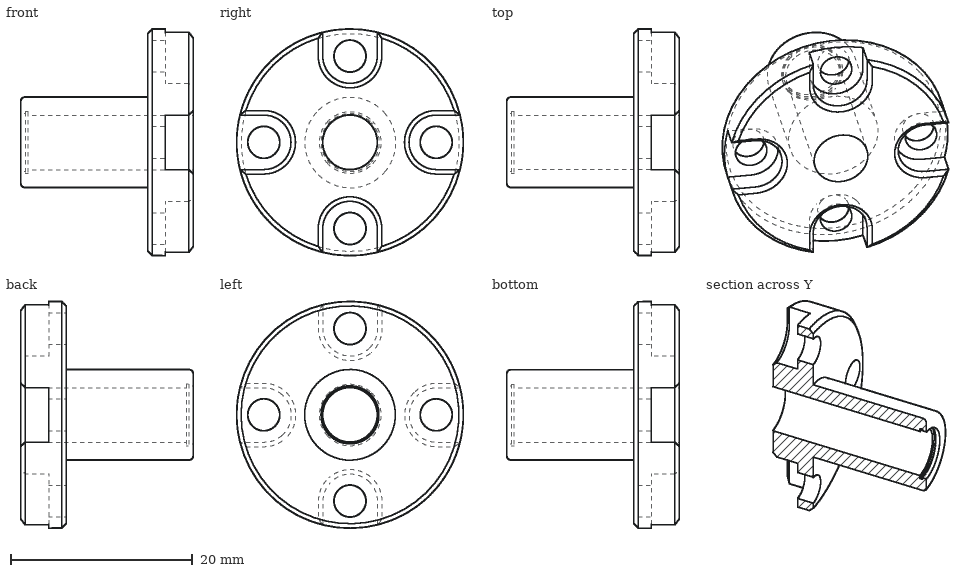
import cadquery as cq

flange_diameter = 24.98
flange_thickness = 5.02
flange_chamfer = 0.5

sleeve_diameter = 10.0
sleeve_length = 14.0
sleeve_rounding = 0.5
total_length = sleeve_length + flange_thickness

bore_diameter = 6.0
entry_diameter = 6.4
entry_depth = 0.5
groove_diameter = 6.8
groove_width = 0.3

hole_count = 4
hole_diameter = 3.5
hole_circle_radius = 9.5
slot_width = 6.0
slot_depth = 3.07
slot_chamfer = 0.5


def cylinder(start, length, diameter, offset=0.0):
    """Cylinder along X, shifted up from the part axis by offset."""
    plane = cq.Workplane("YZ", origin=(start, 0, offset))
    return plane.circle(diameter / 2).extrude(length)


def flanged_sleeve():
    sleeve = cylinder(0, total_length, sleeve_diameter).faces("<X").edges().fillet(sleeve_rounding)
    flange = cylinder(sleeve_length, flange_thickness, flange_diameter).edges().chamfer(flange_chamfer)
    return sleeve.union(flange)


def stepped_bore():
    bore = cylinder(0, total_length, bore_diameter)
    entry = cylinder(0, entry_depth, entry_diameter)
    groove = cylinder(entry_depth, groove_width, groove_diameter)
    return bore.union(entry).union(groove)


def slot_outline(start, radius):
    """U outline centred on the topmost hole, open past the flange rim."""
    slot_top = flange_diameter / 2
    return (
        cq.Workplane("YZ", origin=(start, 0, hole_circle_radius))
        .moveTo(-radius, slot_top)
        .lineTo(-radius, 0)
        .threePointArc((0, -radius), (radius, 0))
        .lineTo(radius, slot_top)
        .close()
    )


def mounting_cut():
    """Topmost hole and slot; the slot's round end is concentric with the hole."""
    slot_radius = slot_width / 2
    hole = cylinder(0, total_length, hole_diameter, hole_circle_radius)
    slot = slot_outline(total_length - slot_depth, slot_radius).extrude(slot_depth)
    mouth = slot_outline(total_length, slot_radius + slot_chamfer).extrude(-slot_chamfer, taper=45)
    return hole.union(slot).union(mouth)


result = flanged_sleeve().cut(stepped_bore())
cut = mounting_cut()
for index in range(hole_count):
    angle = index * 360 / hole_count
    result = result.cut(cut.rotate((0, 0, 0), (1, 0, 0), angle))